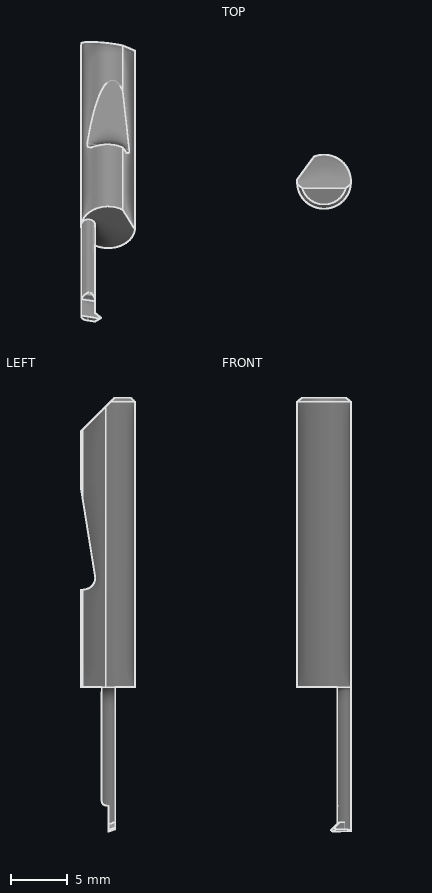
import cadquery as cq
import math

total_length = 38.1
shank_radius = 2.38
shank_bottom = 12.7
shank_top_chamfer = 0.4
slant_top_y = -0.57

flat_distance = 2.02
flat_angle = 143.5

notch_top = 30.15
notch_floor_y = 1.0
notch_floor_z = 21.45
notch_corner_radius = 1.0

stem_radius = 0.6
stem_x = shank_radius - stem_radius
stem_overlap = 0.4
rake_y = -0.05
rake_top = 2.3
rake_round = 0.45

head_top = 0.85
tip_x = 0.75
tip_land = 0.15
side_relief = 0.3
end_rise_back = 0.05
end_rise_front = 0.23

margin = 3.8


def side_profile(points):
    """Closed outline in the YZ plane with the given (y, z) corners."""
    return cq.Workplane("YZ").polyline(points).close()


def make_shank():
    shank = (
        cq.Workplane("XY")
        .workplane(offset=shank_bottom)
        .circle(shank_radius)
        .extrude(total_length - shank_bottom)
        .faces(">Z")
        .chamfer(shank_top_chamfer)
    )
    run = shank_radius + margin - slant_top_y
    end_cut = side_profile([
        (slant_top_y, total_length),
        (slant_top_y + run, total_length - run),
        (slant_top_y + run, total_length),
    ]).extrude(shank_radius + margin, both=True)

    flat_cut = (
        cq.Workplane("XY")
        .box(margin, 4 * shank_radius, total_length + margin, centered=(False, True, False))
        .translate((flat_distance, 0, 0))
        .rotate((0, 0, 0), (0, 0, 1), flat_angle)
    )
    return shank.cut(end_cut).cut(flat_cut).cut(make_notch())


def make_notch():
    """Tilted floor and a shoulder square to it, joined by a rounded corner."""
    height = notch_top - notch_floor_z
    depth = shank_radius - notch_floor_y
    reach = 2.0
    floor_end = (notch_floor_y + reach * depth, notch_floor_z + reach * height)
    shoulder_end = (notch_floor_y + reach * depth, notch_floor_z - reach * depth * depth / height)
    notch = side_profile([
        (notch_floor_y, notch_floor_z),
        shoulder_end,
        floor_end,
    ]).extrude(shank_radius + margin, both=True)
    corner = cq.selectors.NearestToPointSelector((0, notch_floor_y, notch_floor_z))
    return notch.edges(corner).fillet(notch_corner_radius)


def make_stem():
    stem = (
        cq.Workplane("XY")
        .center(stem_x, rake_y)
        .circle(stem_radius)
        .extrude(shank_bottom + stem_overlap)
    )
    diagonal = rake_round * math.sqrt(0.5)
    back_y = rake_y + stem_radius
    front_y = rake_y - stem_radius
    round_y = back_y - rake_round
    round_z = rake_top + rake_round
    rake_cut = (
        cq.Workplane("YZ")
        .moveTo(rake_y, -margin)
        .lineTo(rake_y, rake_top)
        .lineTo(round_y, rake_top)
        .threePointArc((round_y + diagonal, round_z - diagonal), (back_y, round_z))
        .lineTo(back_y + margin, round_z)
        .lineTo(back_y + margin, -margin)
        .close()
        .extrude(shank_radius + margin)
    )
    end_cut = side_profile([
        (rake_y, end_rise_back),
        (front_y, end_rise_front),
        (front_y, -margin),
        (rake_y, -margin),
    ]).extrude(shank_radius + margin)
    return stem.cut(rake_cut).cut(end_cut)


def head_outline(tip, bottom, inner_bottom):
    """Corners (x, z) of one head section with its tip at the given place."""
    land_x = tip - tip_land
    land_z = bottom + tip_land
    return [
        (tip, bottom),
        (land_x, land_z),
        (land_x + head_top - land_z, head_top),
        (stem_x, head_top),
        (stem_x, inner_bottom),
    ]


def make_head():
    """Tapered hook from the rake face to the tangent -Y side of the stem."""
    back = head_outline(tip_x, 0, end_rise_back)
    front = head_outline(tip_x + side_relief, end_rise_front, end_rise_front)
    return (
        cq.Workplane("XZ", origin=(0, rake_y, 0))
        .polyline(back)
        .close()
        .workplane(offset=stem_radius)
        .polyline(front)
        .close()
        .loft(ruled=True)
    )


result = make_shank().union(make_stem()).union(make_head())